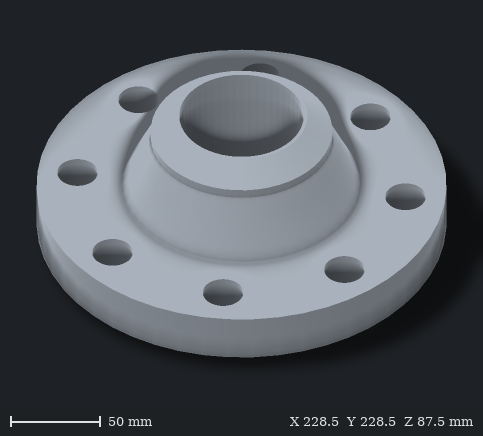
import cadquery as cq


flange_diameter = 228.5
flange_thickness = 28.0
face_diameter = 158.8
face_height = 8.5

cone_base_diameter = 134.0
cone_height = 34.5
neck_diameter = 101.2
neck_height = 5.5
bevel_top_diameter = 73.5
bevel_height = 11.0
hub_fillet_radius = 2.7

bore_diameter = 69.5
bolt_circle_diameter = 184.0
bolt_hole_diameter = 22.6
bolt_count = 8

flange_bottom = face_height
flange_top = flange_bottom + flange_thickness
neck_bottom = flange_top + cone_height
neck_top = neck_bottom + neck_height
total_height = neck_top + bevel_height


def revolved_body():
    """Solid of revolution: raised face, flange plate and hub."""
    outline = (
        cq.Workplane("XZ")
        .moveTo(0, 0)
        .lineTo(face_diameter / 2, 0)
        .lineTo(face_diameter / 2, flange_bottom)
        .lineTo(flange_diameter / 2, flange_bottom)
        .lineTo(flange_diameter / 2, flange_top)
        .lineTo(cone_base_diameter / 2, flange_top)
        .lineTo(neck_diameter / 2, neck_bottom)
        .lineTo(neck_diameter / 2, neck_top)
        .lineTo(bevel_top_diameter / 2, total_height)
        .lineTo(0, total_height)
        .close()
    )
    return outline.revolve(360, (0, 0, 0), (0, 1, 0))


def fillet_hub_root(body):
    """Round the corner where the cone meets the flange plate."""
    cone_base_rank = 2
    root_edge = body.edges("%CIRCLE").edges(cq.selectors.RadiusNthSelector(cone_base_rank))
    return root_edge.fillet(hub_fillet_radius)


def bore():
    """Pipe bore through the full height."""
    return cq.Workplane("XY").circle(bore_diameter / 2).extrude(total_height)


def bolt_holes():
    """Ring of through holes, the first one on the X axis."""
    return (
        cq.Workplane("XY")
        .workplane(offset=flange_bottom)
        .polarArray(bolt_circle_diameter / 2, 0, 360, bolt_count)
        .circle(bolt_hole_diameter / 2)
        .extrude(flange_thickness)
    )


result = fillet_hub_root(revolved_body()).cut(bore()).cut(bolt_holes())